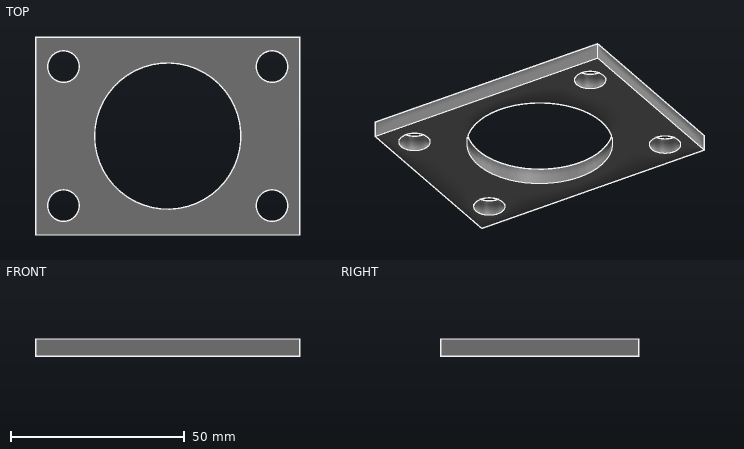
import cadquery as cq

plate_length = 76.0
plate_width = 57.0
plate_thickness = 5.0

bore_diameter = 42.0

mount_hole_diameter = 9.0
mount_spacing_x = 60.0
mount_spacing_y = 40.0


def make_plate():
    """Rectangular plate centred on the Z axis, with its underside at Z = 0."""
    return cq.Workplane("XY").box(
        plate_length, plate_width, plate_thickness, centered=(True, True, False)
    )


def cut_bore(body):
    """Large central opening through the full thickness."""
    return body.faces(">Z").workplane(origin=(0, 0, 0)).hole(bore_diameter)


def cut_mount_holes(body):
    """Four through holes at the corners of a rectangle centred on the plate."""
    return (
        body.faces(">Z")
        .workplane(origin=(0, 0, 0))
        .rect(mount_spacing_x, mount_spacing_y, forConstruction=True)
        .vertices()
        .hole(mount_hole_diameter)
    )


result = cut_mount_holes(cut_bore(make_plate()))